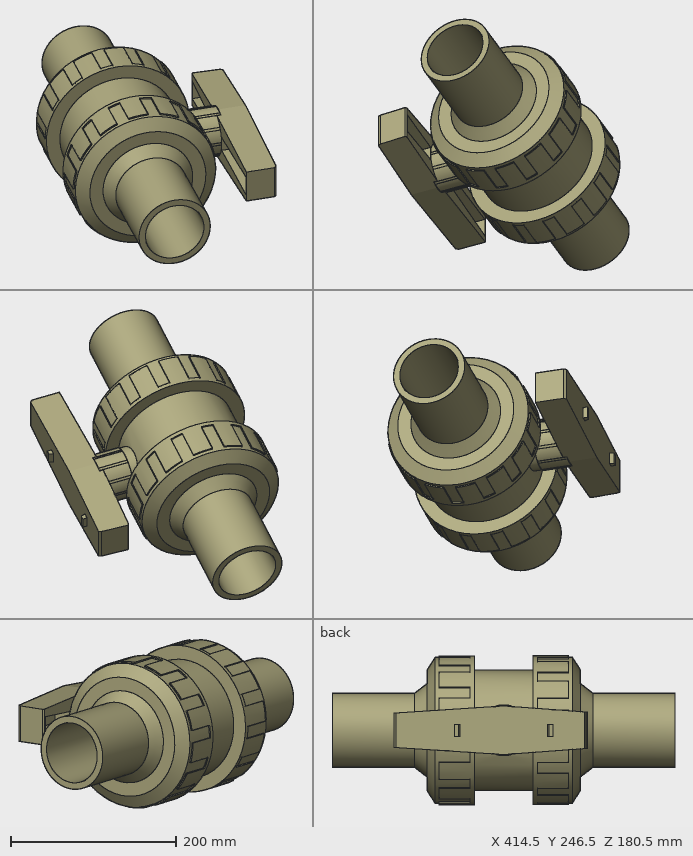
import cadquery as cq
import math

FULL_TURN = 360.0

LENGTH = 414.5
OVERALL_DEPTH = 246.5

BORE_DIA = 73.8
PIPE_DIA = 90.0
BODY_DIA = 146.5
CONE_START = 107.8
CONE_DIA = 113.0

NUT_FACE = 93.0
NUT_INNER_FACE = 35.2
NUT_FACE_DIA = 146.5
NUT_DIA = 177.0
GRIP_DIA = 180.5
NUT_BEVEL_END = 83.0
GRIP_END = 78.5
GRIP_COLLAR = 5.5
GRIP_COUNT = 14
GRIP_ANGLE = 16.0
GRIP_PHASE = 7.9
RELIEF_OVERSHOOT = 4.0

NECK_DIA = 59.5
COLLAR_DIA = 61.8
COLLAR_BOTTOM = 78.8
COLLAR_TOP = 116.0
GROOVE_COUNT = 10
GROOVE_WIDTH = 3.5
GROOVE_DEPTH = 0.5

HANDLE_LEFT = 101.0
HANDLE_RIGHT = 133.0
HANDLE_TOP = 151.0
HANDLE_BOTTOM = 111.0
ARM_RISE = 1.2
LEFT_DRAFT = 1.5
LEFT_BEVEL = 1.5
RIGHT_BEVEL = 3.0
HALF_WIDTH_MIDDLE = 29.5
HALF_WIDTH_LEFT = 22.0
HALF_WIDTH_RIGHT = 20.7

POCKET_TOP = 142.5
POCKET_START = 31.0
POCKET_END_WALL = 2.0
POCKET_HALF_INNER = 9.0
POCKET_HALF_OUTER = 12.5

STOP_TOP = OVERALL_DEPTH - GRIP_DIA / 2
STOP_WIDTH = 14.5
STOP_INNER = 52.5
STOP_OUTER = 59.5
STOP_SLOPE = 2.0


def cylinder_x(diameter, start, end):
    return cq.Workplane("YZ").workplane(offset=start).circle(diameter / 2).extrude(end - start)


def cylinder_y(diameter, start, end):
    return cq.Workplane("XZ", origin=(0, start, 0)).circle(diameter / 2).extrude(start - end)


def revolve_x(points):
    return cq.Workplane("XZ").polyline(points).close().revolve(FULL_TURN, (0, 0, 0), (1, 0, 0))


def point_at(radius, angle):
    return radius * math.cos(math.radians(angle)), radius * math.sin(math.radians(angle))


def make_grip_bar(middle):
    """Radial block through the nut surface at the angle `middle`."""
    start = middle - GRIP_ANGLE / 2
    end = middle + GRIP_ANGLE / 2
    inner_radius = NUT_FACE_DIA / 2
    outer_radius = GRIP_DIA
    return (
        cq.Workplane("YZ")
        .workplane(offset=-GRIP_END)
        .polyline([
            point_at(inner_radius, start),
            point_at(outer_radius, start),
            point_at(outer_radius, end),
            point_at(inner_radius, end),
        ])
        .close()
        .extrude(GRIP_END - NUT_INNER_FACE)
    )


def make_grip_relief():
    """Thin sleeve of material to remove from the nut so that the grip bars stand proud."""
    outer_radius = GRIP_DIA / 2 + RELIEF_OVERSHOOT
    relief = revolve_x([
        (-NUT_BEVEL_END, NUT_DIA / 2),
        (-NUT_BEVEL_END, outer_radius),
        (-NUT_INNER_FACE - GRIP_COLLAR, outer_radius),
        (-NUT_INNER_FACE - GRIP_COLLAR, NUT_DIA / 2),
    ])
    for index in range(GRIP_COUNT):
        bar = make_grip_bar(GRIP_PHASE + index * FULL_TURN / GRIP_COUNT)
        relief = relief.cut(bar, clean=False)
    return relief


def make_nut():
    """Nut on the -X side: bevelled front, inner collar and the grip bars that run into it."""
    blank = revolve_x([
        (-NUT_FACE, 0),
        (-NUT_FACE, NUT_FACE_DIA / 2),
        (-NUT_BEVEL_END, NUT_DIA / 2),
        (-NUT_BEVEL_END, GRIP_DIA / 2),
        (-NUT_INNER_FACE, GRIP_DIA / 2),
        (-NUT_INNER_FACE, 0),
    ])
    return blank.cut(make_grip_relief(), clean=False)


def make_cone():
    """Flare from the pipe up to the front of the nut, on the -X side."""
    return revolve_x([
        (-CONE_START, 0),
        (-CONE_START, PIPE_DIA / 2),
        (-NUT_FACE, CONE_DIA / 2),
        (-NUT_FACE, 0),
    ])


def make_run():
    """Body and pipe with a nut and cone at each end; the +X end is the -X end turned about Y."""
    run = cylinder_x(PIPE_DIA, -LENGTH / 2, LENGTH / 2)
    run = run.union(cylinder_x(BODY_DIA, -NUT_INNER_FACE, NUT_INNER_FACE))
    end = make_nut().union(make_cone())
    return run.union(end).union(end.rotate((0, 0, 0), (0, 1, 0), 180))


def make_stem():
    """Round neck carrying a wider collar with grooves along its sides."""
    neck = cylinder_y(NECK_DIA, 0, COLLAR_BOTTOM)
    collar = cylinder_y(COLLAR_DIA, COLLAR_BOTTOM, COLLAR_TOP)
    groove = (
        cq.Workplane("XY")
        .box(COLLAR_DIA, COLLAR_TOP - COLLAR_BOTTOM, GROOVE_WIDTH, centered=(False, False, True))
        .translate((COLLAR_DIA / 2 - GROOVE_DEPTH, COLLAR_BOTTOM, 0))
    )
    for index in range(GROOVE_COUNT):
        collar = collar.cut(groove.rotate((0, 0, 0), (0, 1, 0), index * FULL_TURN / GROOVE_COUNT))
    return neck.union(collar)


def make_pocket(end, direction):
    """Pocket in one arm that widens from the stem to `end`, on the side given by `direction`."""
    return (
        cq.Workplane("XZ", origin=(0, POCKET_TOP, 0))
        .polyline([
            (direction * POCKET_START, -POCKET_HALF_INNER),
            (direction * POCKET_START, POCKET_HALF_INNER),
            (direction * end, POCKET_HALF_OUTER),
            (direction * end, -POCKET_HALF_OUTER),
        ])
        .close()
        .extrude(POCKET_TOP)
    )


def make_handle():
    """Bar shaped by its side outline and its plan outline, hollowed by a pocket in each arm."""
    left_top = -HANDLE_LEFT + LEFT_DRAFT
    side = (
        cq.Workplane("XY")
        .polyline([
            (0, HANDLE_BOTTOM),
            (HANDLE_RIGHT, HANDLE_BOTTOM + ARM_RISE),
            (HANDLE_RIGHT, HANDLE_TOP - RIGHT_BEVEL),
            (HANDLE_RIGHT - RIGHT_BEVEL, HANDLE_TOP),
            (left_top + LEFT_BEVEL, HANDLE_TOP),
            (left_top, HANDLE_TOP - 2 * LEFT_BEVEL),
            (-HANDLE_LEFT, HANDLE_BOTTOM + ARM_RISE + LEFT_BEVEL),
            (-HANDLE_LEFT + LEFT_BEVEL, HANDLE_BOTTOM + ARM_RISE),
        ])
        .close()
        .extrude(HALF_WIDTH_MIDDLE, both=True)
    )
    plan = (
        cq.Workplane("XZ")
        .polyline([
            (-HANDLE_LEFT, -HALF_WIDTH_LEFT),
            (0, -HALF_WIDTH_MIDDLE),
            (HANDLE_RIGHT, -HALF_WIDTH_RIGHT),
            (HANDLE_RIGHT, HALF_WIDTH_RIGHT),
            (0, HALF_WIDTH_MIDDLE),
            (-HANDLE_LEFT, HALF_WIDTH_LEFT),
        ])
        .close()
        .extrude(-HANDLE_TOP)
    )
    handle = side.intersect(plan)
    handle = handle.cut(make_pocket(HANDLE_LEFT - LEFT_DRAFT - POCKET_END_WALL, -1))
    return handle.cut(make_pocket(HANDLE_RIGHT - POCKET_END_WALL, 1))


def make_stop():
    """Small stop on the +X arm, sloping on the side nearer the stem."""
    return (
        cq.Workplane("XY")
        .polyline([
            (STOP_INNER, HANDLE_TOP),
            (STOP_INNER + STOP_SLOPE, STOP_TOP),
            (STOP_OUTER, STOP_TOP),
            (STOP_OUTER, HANDLE_TOP),
        ])
        .close()
        .extrude(STOP_WIDTH / 2, both=True)
    )


stop = make_stop()
handle = make_handle().union(stop).union(stop.mirror("YZ"))
bore = cylinder_x(BORE_DIA, -LENGTH / 2, LENGTH / 2)
result = make_run().union(make_stem()).cut(bore).union(handle)